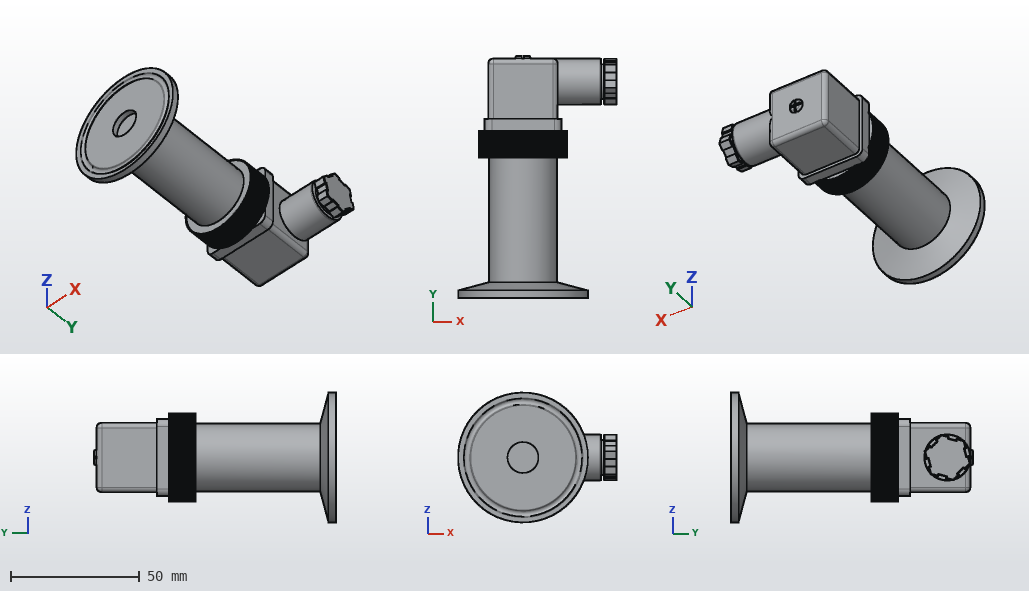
import cadquery as cq
import math


FLANGE_DIA = 50.5
FLANGE_RIM = 3.0
FLANGE_CONE_ANGLE = 15.0
TUBE_DIA = 26.5
GROOVE_OUTER_DIA = 46.0
GROOVE_INNER_DIA = 41.1
GROOVE_DEPTH = 0.9
GROOVE_EDGE_FILLET = 0.3
PORT_DIA = 12.0
PORT_DEPTH = 2.5

COLLAR_DIA = 34.2
COLLAR_START = 54.5
COLLAR_LENGTH = 10.4
KNURL_COUNT = 180
KNURL_DEPTH = 0.4
KNURL_GROOVE_SHARE = 0.1

BASE_SIDE = 30.0
BASE_THICKNESS = 4.6
BASE_CORNER_RADIUS = 2.8
HOUSING_SIDE = 27.0
HOUSING_TOP = 93.0
HOUSING_FILLET = 2.0
OUTLET_DIA = 18.0
OUTLET_END = 30.4
OUTLET_CHAMFER_LENGTH = 0.7
OUTLET_CHAMFER_RISE = 0.2
NECK_DIA = 13.6
NUT_START = 31.4
NUT_END = 36.5
NUT_SIDES = 6
NUT_CORNER_DIA = 18.4
NUT_TURN = 45.0
NUT_NOTCH_DEPTH = 0.7
NUT_CHAMFER = 0.3
SCREW_TOP = 94.0
SCREW_DIA = 5.9
SCREW_EDGE_FILLET = 0.75
SCREW_SLOT_WIDTH = 0.75

COLLAR_END = COLLAR_START + COLLAR_LENGTH
BASE_TOP = COLLAR_END + BASE_THICKNESS
OUTLET_Y = HOUSING_TOP - OUTLET_DIA / 2


def plane_at_y(y):
    """Plane normal to +Y, with local x along +X and local y along -Z."""
    return cq.Workplane(cq.Plane(origin=(0, y, 0), xDir=(1, 0, 0), normal=(0, 1, 0)))


def plane_at_x(x):
    """Plane normal to +X on the outlet axis, with local x along +Y and local y along +Z."""
    return cq.Workplane(cq.Plane(origin=(x, OUTLET_Y, 0), xDir=(0, 1, 0), normal=(1, 0, 0)))


def polar(radius, degrees):
    angle = math.radians(degrees)
    return (radius * math.cos(angle), radius * math.sin(angle))


def make_flanged_tube():
    """Tube with a conical-backed flange, a round-bottomed ring groove and a blind port."""
    flange_radius = FLANGE_DIA / 2
    tube_radius = TUBE_DIA / 2
    cone_height = (flange_radius - tube_radius) * math.tan(math.radians(FLANGE_CONE_ANGLE))
    groove_inner = GROOVE_INNER_DIA / 2
    groove_outer = GROOVE_OUTER_DIA / 2
    groove_middle = (groove_inner + groove_outer) / 2
    port_radius = PORT_DIA / 2
    profile = (
        cq.Workplane("XY")
        .moveTo(0, PORT_DEPTH)
        .lineTo(port_radius, PORT_DEPTH)
        .lineTo(port_radius, 0)
        .lineTo(groove_inner, 0)
        .threePointArc((groove_middle, GROOVE_DEPTH), (groove_outer, 0))
        .lineTo(flange_radius, 0)
        .lineTo(flange_radius, FLANGE_RIM)
        .lineTo(tube_radius, FLANGE_RIM + cone_height)
        .lineTo(tube_radius, COLLAR_START)
        .lineTo(0, COLLAR_START)
        .close()
    )
    body = profile.revolve(360, (0, 0, 0), (0, 1, 0))
    return (
        body.edges("<Y")
        .filter(lambda rim: port_radius < rim.radius() < flange_radius)
        .fillet(GROOVE_EDGE_FILLET)
    )


def make_collar():
    """Disc with straight knurling, butted against the end of the tube."""
    crest = COLLAR_DIA / 2
    root = crest - KNURL_DEPTH
    pitch = 360 / KNURL_COUNT
    land = pitch * (1 - KNURL_GROOVE_SHARE)
    outline = []
    for i in range(KNURL_COUNT):
        start = i * pitch
        outline.append(polar(crest, start))
        outline.append(polar(crest, start + land))
        outline.append(polar(root, start + (land + pitch) / 2))
    return plane_at_y(COLLAR_START).polyline(outline).close().extrude(COLLAR_LENGTH)


def make_housing():
    """Square base flange carrying the rounded connector housing."""
    base = (
        plane_at_y(COLLAR_END)
        .rect(BASE_SIDE, BASE_SIDE)
        .extrude(BASE_THICKNESS)
        .edges("|Y")
        .fillet(BASE_CORNER_RADIUS)
    )
    box = (
        plane_at_y(BASE_TOP)
        .rect(HOUSING_SIDE, HOUSING_SIDE)
        .extrude(HOUSING_TOP - BASE_TOP)
        .edges("|Y or >Y")
        .fillet(HOUSING_FILLET)
    )
    return base.union(box)


def make_outlet():
    """Round cable outlet and the thinner neck that carries the gland nut."""
    outlet = (
        plane_at_x(0)
        .circle(OUTLET_DIA / 2)
        .extrude(OUTLET_END)
        .faces(">X")
        .edges()
        .chamfer(OUTLET_CHAMFER_LENGTH, OUTLET_CHAMFER_RISE)
    )
    neck = plane_at_x(0).circle(NECK_DIA / 2).extrude(NUT_START)
    return outlet.union(neck)


def make_gland_nut():
    """Hexagonal nut with the middle third of every flat set back."""
    corner_radius = NUT_CORNER_DIA / 2
    flat_distance = corner_radius * math.cos(math.pi / NUT_SIDES)
    side_length = 2 * corner_radius * math.sin(math.pi / NUT_SIDES)
    notch_half_width = side_length / 3 / 2
    notch_floor = flat_distance - NUT_NOTCH_DEPTH
    side_angle = 360 / NUT_SIDES
    outline = []
    for i in range(NUT_SIDES):
        corner_angle = NUT_TURN + side_angle * i
        flat_angle = corner_angle + side_angle / 2
        outline.append(polar(corner_radius, corner_angle))
        for distance, side in (
            (flat_distance, -notch_half_width),
            (notch_floor, -notch_half_width),
            (notch_floor, notch_half_width),
            (flat_distance, notch_half_width),
        ):
            out_y, out_z = polar(distance, flat_angle)
            along_y, along_z = polar(side, flat_angle + 90)
            outline.append((out_y + along_y, out_z + along_z))
    return (
        plane_at_x(NUT_START)
        .polyline(outline)
        .close()
        .extrude(NUT_END - NUT_START)
        .faces("<X or >X")
        .edges()
        .chamfer(NUT_CHAMFER)
    )


def make_screw_head():
    """Rounded screw head with a cross slot, standing on the housing top."""
    height = SCREW_TOP - HOUSING_TOP
    head = (
        plane_at_y(HOUSING_TOP)
        .circle(SCREW_DIA / 2)
        .extrude(height)
        .faces(">Y")
        .edges()
        .fillet(SCREW_EDGE_FILLET)
    )
    slot = plane_at_y(HOUSING_TOP).rect(SCREW_DIA, SCREW_SLOT_WIDTH).extrude(height)
    cross = slot.union(slot.rotate((0, 0, 0), (0, 1, 0), 90))
    return head.cut(cross)


def make_connector():
    """Angle connector: housing, cable outlet, gland nut and fixing screw as one body."""
    return make_housing().union(make_outlet()).union(make_gland_nut()).union(make_screw_head())


flanged_tube = make_flanged_tube()
collar = make_collar()
connector = make_connector()

result = cq.Compound.makeCompound([flanged_tube.val(), collar.val(), connector.solids().val()])